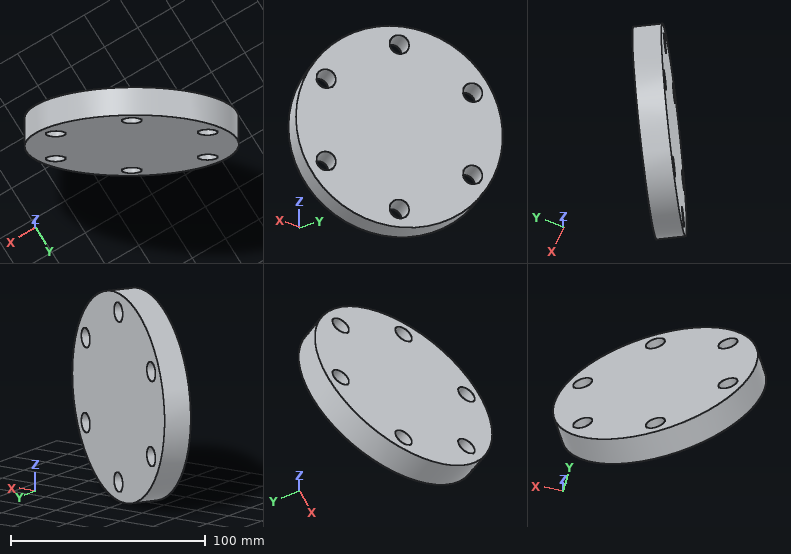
import cadquery as cq

flange_diameter = 110.0
flange_thickness = 15.0
turn_angle = 30.6

bolt_circle_diameter = 90.0
bolt_hole_diameter = 10.2
bolt_hole_count = 6
first_hole_angle = 90.0


def make_disc():
    """Plain disc centred on the origin, with its axis along Y."""
    return (
        cq.Workplane("XZ", origin=(0, flange_thickness / 2, 0))
        .circle(flange_diameter / 2)
        .extrude(flange_thickness)
    )


def make_bolt_holes():
    """Cylinders running through the full thickness at each bolt position."""
    return (
        cq.Workplane("XZ", origin=(0, flange_thickness / 2, 0))
        .polarArray(bolt_circle_diameter / 2, first_hole_angle, 360, bolt_hole_count)
        .circle(bolt_hole_diameter / 2)
        .extrude(flange_thickness)
    )


flange = make_disc().cut(make_bolt_holes())
result = flange.rotate((0, 0, 0), (0, 0, 1), -turn_angle)